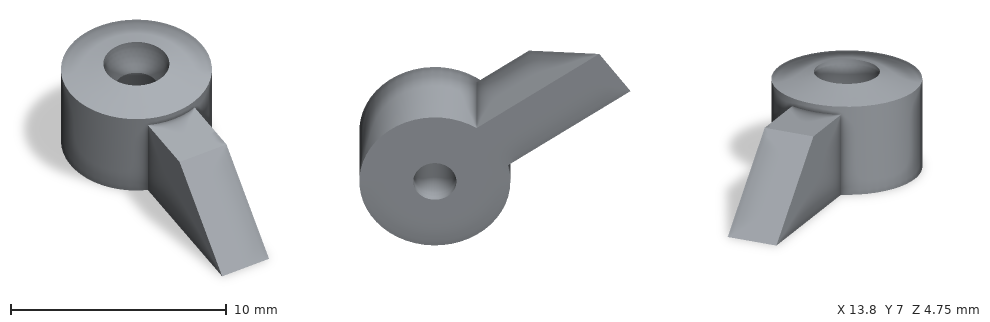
import cadquery as cq
import math

hub_diameter = 7.0
hub_radius = hub_diameter / 2
hub_height = 4.75
rim_height = 4.4

bore_radius = 2.0 / 2
seat_sphere_radius = 1.55
seat_center_depth = 0.25
seat_mouth_radius = math.sqrt(seat_sphere_radius**2 - seat_center_depth**2)

pointer_width = 2.5
pointer_height = 4.0
pointer_tip_x = 10.25
pointer_slope_start_x = pointer_tip_x - pointer_height


def make_hub():
    profile = (
        cq.Workplane("XZ")
        .lineTo(hub_radius, 0)
        .lineTo(hub_radius, rim_height)
        .lineTo(seat_mouth_radius, hub_height)
        .lineTo(0, hub_height)
        .close()
    )
    return profile.revolve()


def make_pointer():
    return (
        cq.Workplane("XZ")
        .lineTo(pointer_tip_x, 0)
        .lineTo(pointer_slope_start_x, pointer_height)
        .lineTo(0, pointer_height)
        .close()
        .extrude(pointer_width / 2, both=True)
    )


def make_bore():
    return cq.Workplane("XY").circle(bore_radius).extrude(hub_height)


def make_seat():
    return (
        cq.Workplane("XY")
        .sphere(seat_sphere_radius)
        .translate((0, 0, hub_height - seat_center_depth))
    )


result = make_hub().union(make_pointer()).cut(make_bore()).cut(make_seat())